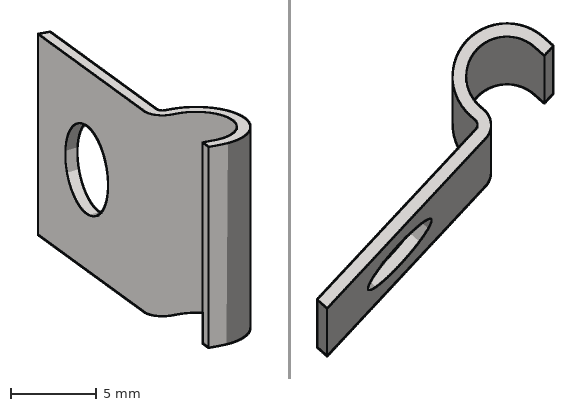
import cadquery as cq
import math

length = 20.65
depth = 4.79
height = 12.7
thickness = 0.8
loop_outer_radius = 3.2
bend_inner_radius = 0.4
hole_diameter = 5.55
hole_x = 6.34

loop_inner_radius = loop_outer_radius - thickness
loop_x = length - loop_outer_radius
loop_y = depth - loop_outer_radius
loop_left = loop_x - loop_outer_radius
loop_inner_left = loop_left + thickness
loop_inner_right = length - thickness

bend_outer_radius = bend_inner_radius + thickness
bend_x = loop_left - bend_inner_radius
bend_y = bend_outer_radius
diagonal = math.sqrt(0.5)


def bend_middle(radius):
    """Point halfway along a bend arc of the given radius."""
    return bend_x + radius * diagonal, bend_y - radius * diagonal


def make_strip():
    """Constant-thickness bent strip, extruded along Z."""
    return (
        cq.Workplane("XY")
        .lineTo(bend_x, 0)
        .threePointArc(bend_middle(bend_outer_radius), (loop_inner_left, bend_y))
        .lineTo(loop_inner_left, loop_y)
        .threePointArc((loop_x, loop_y + loop_inner_radius), (loop_inner_right, loop_y))
        .lineTo(loop_inner_right, thickness)
        .lineTo(length, thickness)
        .lineTo(length, loop_y)
        .threePointArc((loop_x, depth), (loop_left, loop_y))
        .lineTo(loop_left, bend_y)
        .threePointArc(bend_middle(bend_inner_radius), (bend_x, thickness))
        .lineTo(0, thickness)
        .close()
        .extrude(height)
    )


def make_screw_hole():
    """Cylinder through the plate, centred on its height."""
    return (
        cq.Workplane("XZ")
        .center(hole_x, height / 2)
        .circle(hole_diameter / 2)
        .extrude(-thickness)
    )


result = make_strip().cut(make_screw_hole())